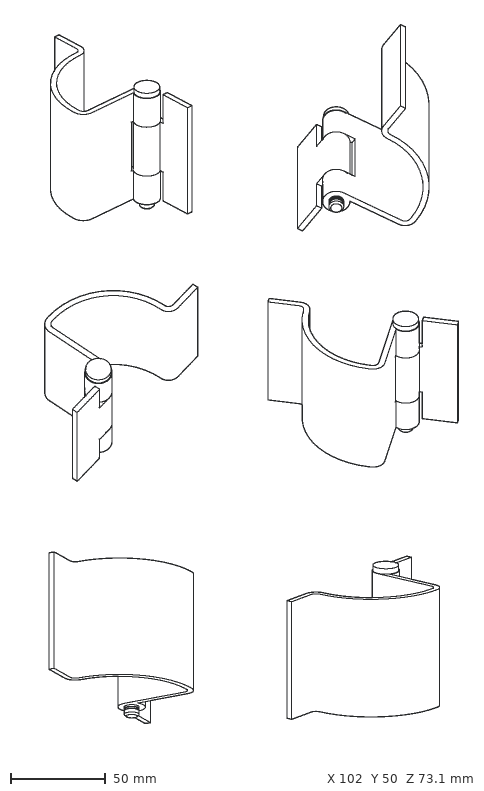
import cadquery as cq
import math

LENGTH = 102.0
DEPTH = 50.0
HEIGHT = 65.0
THICKNESS = 3.3
INNER_BEND = 3.2
OUTER_BEND = INNER_BEND + THICKNESS
FLANGE_LENGTH = 16.7
BARREL_X = 75.0
PIN_RADIUS = 4.0
BARREL_RADIUS = PIN_RADIUS + THICKNESS
BARREL_Y = -BARREL_RADIUS

END_KNUCKLE = 17.5
MIDDLE_KNUCKLE = HEIGHT - 2 * END_KNUCKLE
LEAF_CLEARANCE = 0.8

HEAD_RADIUS = 6.8
HEAD_HEIGHT = 3.0
TAIL_LENGTH = 5.1
TAIL_CHAMFER = 1.0
GROOVE_OFFSET = 0.9
GROOVE_WIDTH = 1.0
GROOVE_DEPTH = 0.5

ARC_RADIUS = DEPTH - OUTER_BEND
ARC_INNER = ARC_RADIUS - THICKNESS
ARC_LEFT = FLANGE_LENGTH + INNER_BEND
ARC_X = ARC_LEFT + ARC_RADIUS
ARC_Y = -OUTER_BEND
WALL_LEFT = BARREL_X - BARREL_RADIUS
WALL_RIGHT = WALL_LEFT + THICKNESS
CORNER_X = WALL_RIGHT - OUTER_BEND
CORNER_Y = -DEPTH + OUTER_BEND


def on_arc(center_x, center_y, radius, degrees):
    """Point on a circle, measured counterclockwise from +X."""
    angle = math.radians(degrees)
    return (center_x + radius * math.cos(angle), center_y + radius * math.sin(angle))


def cylinder(radius, bottom, height):
    """Cylinder on the hinge axis."""
    return (
        cq.Workplane("XY", origin=(BARREL_X, BARREL_Y, bottom))
        .circle(radius)
        .extrude(height)
    )


def block(left, right, back, front, bottom, height):
    """Upright box between the given X and Y limits."""
    return (
        cq.Workplane("XY", origin=(left, back, bottom))
        .rect(right - left, front - back, centered=False)
        .extrude(height)
    )


def make_saddle():
    """Bent strip with a flange, a quarter arc, a straight wall and two end knuckles."""
    saddle = (
        cq.Workplane("XY")
        .moveTo(0, 0)
        .lineTo(FLANGE_LENGTH, 0)
        .threePointArc(
            on_arc(FLANGE_LENGTH, -OUTER_BEND, OUTER_BEND, 45),
            (FLANGE_LENGTH + OUTER_BEND, -OUTER_BEND),
        )
        .threePointArc(on_arc(ARC_X, ARC_Y, ARC_INNER, 225), (ARC_X, ARC_Y - ARC_INNER))
        .lineTo(CORNER_X, -DEPTH + THICKNESS)
        .threePointArc(on_arc(CORNER_X, CORNER_Y, INNER_BEND, 315), (WALL_LEFT, CORNER_Y))
        .lineTo(WALL_LEFT, BARREL_Y)
        .lineTo(WALL_RIGHT, BARREL_Y)
        .lineTo(WALL_RIGHT, CORNER_Y)
        .threePointArc(on_arc(CORNER_X, CORNER_Y, OUTER_BEND, 315), (CORNER_X, -DEPTH))
        .lineTo(ARC_X, -DEPTH)
        .threePointArc(on_arc(ARC_X, ARC_Y, ARC_RADIUS, 225), (ARC_LEFT, ARC_Y))
        .threePointArc(
            on_arc(FLANGE_LENGTH, -OUTER_BEND, INNER_BEND, 45),
            (FLANGE_LENGTH, -THICKNESS),
        )
        .lineTo(0, -THICKNESS)
        .close()
        .extrude(HEIGHT)
    )
    saddle = saddle.cut(
        block(
            WALL_LEFT, WALL_RIGHT, BARREL_Y - BARREL_RADIUS, BARREL_Y,
            END_KNUCKLE, MIDDLE_KNUCKLE,
        )
    )
    for bottom in (0, HEIGHT - END_KNUCKLE):
        saddle = saddle.union(cylinder(BARREL_RADIUS, bottom, END_KNUCKLE))
    return saddle.cut(cylinder(PIN_RADIUS, 0, HEIGHT))


def make_leaf():
    """Flat leaf joined tangentially to the middle knuckle."""
    leaf_left = BARREL_X + BARREL_RADIUS + LEAF_CLEARANCE
    plate = block(leaf_left, LENGTH, -THICKNESS, 0, 0, HEIGHT)
    tongue = block(BARREL_X, leaf_left, -THICKNESS, 0, END_KNUCKLE, MIDDLE_KNUCKLE)
    knuckle = cylinder(BARREL_RADIUS, END_KNUCKLE, MIDDLE_KNUCKLE)
    leaf = plate.union(tongue).union(knuckle)
    return leaf.cut(cylinder(PIN_RADIUS, END_KNUCKLE, MIDDLE_KNUCKLE))


def make_pin():
    """Headed pin with a chamfered tail and a retaining groove."""
    shank = cylinder(PIN_RADIUS, -TAIL_LENGTH, HEIGHT + TAIL_LENGTH)
    shank = shank.faces("<Z").chamfer(TAIL_CHAMFER)
    head = cylinder(HEAD_RADIUS, HEIGHT, HEAD_HEIGHT)
    groove_bottom = -GROOVE_OFFSET - GROOVE_WIDTH
    groove = cylinder(PIN_RADIUS, groove_bottom, GROOVE_WIDTH).cut(
        cylinder(PIN_RADIUS - GROOVE_DEPTH, groove_bottom, GROOVE_WIDTH)
    )
    return shank.union(head).cut(groove)


saddle = make_saddle()
leaf = make_leaf()
pin = make_pin()

result = cq.Compound.makeCompound([saddle.solids().val(), leaf.solids().val(), pin.solids().val()])